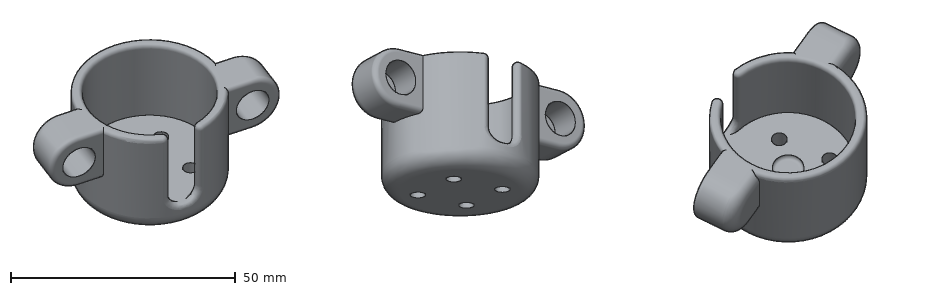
import cadquery as cq

height = 27.0
outer_radius = 35.0 / 2
wall = 2.5
inner_radius = outer_radius - wall
mid_radius = outer_radius - wall / 2
base_round = 4.0
floor_thickness = 6.4
rounding_gap = 0.05
edge_round = wall / 2 - rounding_gap

hole_diameter = 3.45
hole_offset_x = 9.5
hole_offset_y = 8.0
recess_diameter = 7.0
recess_depth = 1.0
recess_round = 0.98

lug_radius = 7.05
lug_center = 21.6
lug_open_face = 7.95
lug_back_face = 2.9
back_round = 2.95
lug_hole_diameter = 8.1
lug_axis_z = height - lug_radius
lug_hole_depth = lug_open_face + lug_back_face - back_round
lug_direction = 45

slot_width = 7.0
slot_corner_radius = 6.35 / 2
slot_bottom = floor_thickness


def make_cup():
    """Outer body with the base rounded, hollow but for a thin bottom."""
    cup = cq.Workplane("XY").circle(outer_radius).extrude(height)
    cup = cup.faces("<Z").edges().fillet(base_round)
    cavity = cq.Workplane("XY", origin=(0, 0, wall)).circle(inner_radius).extrude(height)
    return cup.cut(cavity)


def cut_slot(cup):
    """Cut a round-cornered slot through the -Y wall and round all edges of rim and slot."""
    slot = (
        cq.Workplane("XY", origin=(0, -outer_radius, slot_bottom))
        .box(slot_width, 2 * outer_radius, height, centered=(True, True, False))
        .faces("<Z").edges("|Y").fillet(slot_corner_radius)
    )
    slotted = cup.cut(slot)
    slot_region = cq.selectors.BoxSelector(
        (-slot_width, -2 * outer_radius, 2 * wall),
        (slot_width, -inner_radius / 2, height - wall / 2),
    )
    slotted = slotted.edges(slot_region).fillet(edge_round)
    return slotted.faces(">Z").edges().fillet(edge_round)


def make_floor():
    """Thick floor reaching under the rounded sill of the slot."""
    return cq.Workplane("XY", origin=(0, 0, wall)).circle(mid_radius).extrude(floor_thickness - wall)


def make_lug():
    lug = (
        cq.Workplane("XZ", origin=(0, lug_back_face, 0))
        .moveTo(0, height)
        .lineTo(lug_center, height)
        .threePointArc((lug_center + lug_radius, lug_axis_z), (lug_center, height - 2 * lug_radius))
        .lineTo(0, height - 2 * lug_radius)
        .close()
        .extrude(lug_back_face + lug_open_face)
    )
    lug = lug.faces(">Y").edges("not(<X)").fillet(back_round)
    lug = lug.faces("<Y").edges("not(<X)").fillet(edge_round)
    hole = (
        cq.Workplane("XZ", origin=(lug_center, -lug_open_face, lug_axis_z))
        .circle(lug_hole_diameter / 2)
        .extrude(-lug_hole_depth)
    )
    core = cq.Workplane("XY").circle(mid_radius).extrude(height)
    return lug.cut(hole).cut(core)


def cut_floor(cup):
    holes = (
        cq.Workplane("XY")
        .pushPoints([(hole_offset_x, 0), (-hole_offset_x, 0), (0, hole_offset_y), (0, -hole_offset_y)])
        .circle(hole_diameter / 2)
        .extrude(floor_thickness)
    )
    recess = (
        cq.Workplane("XY", origin=(0, 0, floor_thickness - recess_depth))
        .circle(recess_diameter / 2)
        .extrude(recess_depth)
        .faces("<Z").edges().fillet(recess_round)
    )
    return cup.cut(holes).cut(recess)


axis_start = (0, 0, 0)
axis_end = (0, 0, 1)
lug = make_lug()
body = cut_slot(make_cup()).union(make_floor()).union(lug).union(lug.mirror("YZ"))
result = cut_floor(body.rotate(axis_start, axis_end, lug_direction))